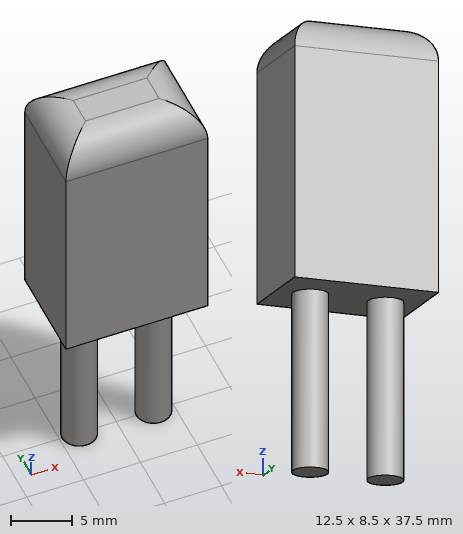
import cadquery as cq

housing_length = 12.5
housing_width = 8.5
housing_height = 22.5
top_radius = 3.0

pin_diameter = 3.0
pin_length = 15.0
pin_spacing = 6.52


def make_housing():
    """Block whose four top edges are rounded and meet in mitred corners."""
    block = cq.Workplane("XY").box(
        housing_length, housing_width, housing_height, centered=(True, True, False)
    )
    rounded_ends = block.edges(">Z and |Y").fillet(top_radius)
    rounded_sides = block.edges(">Z and |X").fillet(top_radius)
    return rounded_ends.intersect(rounded_sides).solids()


def make_pin(x):
    """Straight round pin that touches the underside of the housing."""
    return cq.Workplane("XY").center(x, 0).circle(pin_diameter / 2).extrude(-pin_length)


housing = make_housing()
pins = [make_pin(side * pin_spacing / 2) for side in (-1, 1)]

result = cq.Compound.makeCompound([housing.val(), *[pin.val() for pin in pins]])